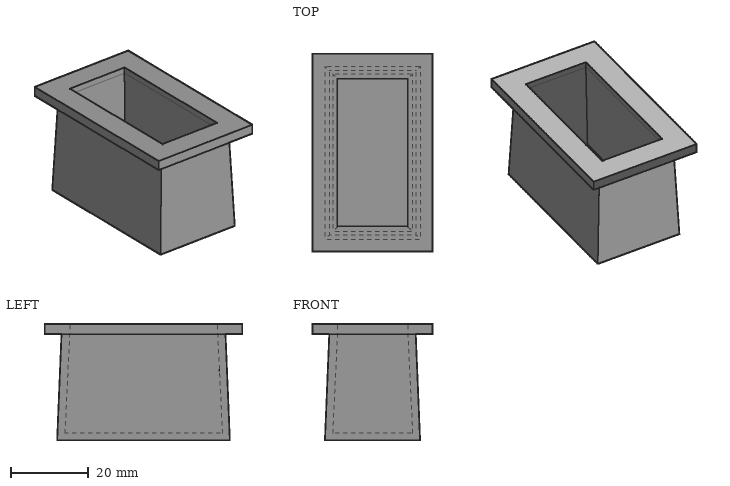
import cadquery as cq

flange_width = 31.0
flange_length = 50.95
flange_thickness = 2.65

total_height = 30.0
base_width = 24.55
base_length = 44.55
side_inset = 1.1
body_height = total_height - flange_thickness

wall = 2.0
floor_thickness = wall
opening_depth = 1.6
opening_width = 18.05
opening_length = opening_width + base_length - base_width


def tapered_block(bottom_width, bottom_length, top_width, top_length, bottom_z, top_z):
    """Centred block whose rectangular section changes evenly with height."""
    return (
        cq.Workplane("XY", origin=(0, 0, bottom_z))
        .rect(bottom_width, bottom_length)
        .workplane(offset=top_z - bottom_z)
        .rect(top_width, top_length)
        .loft(ruled=True)
    )


body = tapered_block(
    base_width, base_length,
    base_width - 2 * side_inset, base_length - 2 * side_inset,
    0, body_height,
)
flange = (
    cq.Workplane("XY", origin=(0, 0, body_height))
    .rect(flange_width, flange_length)
    .extrude(flange_thickness)
)
mouth_bottom = total_height - opening_depth
cavity = tapered_block(
    base_width - 2 * wall, base_length - 2 * wall,
    opening_width, opening_length,
    floor_thickness, mouth_bottom,
)
mouth = (
    cq.Workplane("XY", origin=(0, 0, mouth_bottom))
    .rect(opening_width, opening_length)
    .extrude(opening_depth)
)

result = body.union(flange).cut(cavity).cut(mouth)